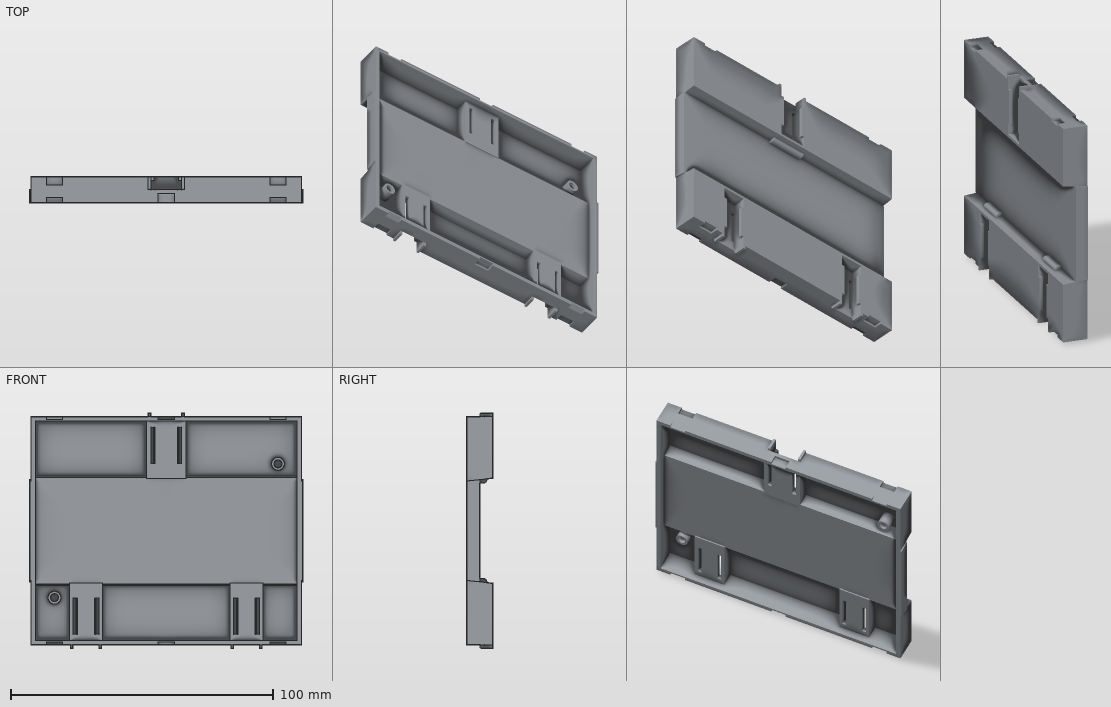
import cadquery as cq
import math


width = 103.2
height = 87.0
depth = 10.0
side_wall = 1.75
back_wall = 1.5

channel_floor_y = 5.0
channel_half_height = 20.0
channel_draft = math.tan(math.radians(6.0))
flank_wall = 1.05

plate_thickness = 0.5

housing_front_y = 3.0
housing_end_z = 19.9
top_clip_x = 0.0
top_pocket_width = 11.8
top_housing_width = 15.2
bottom_clip_offset = 30.6
bottom_pocket_width = 9.9
bottom_housing_width = 12.5
pocket_draft = math.tan(math.radians(5.0))

rail_width = 1.15
rail_thickness = 1.4
slot_width = 1.6
slot_start_z = 25.7
slot_end_z = 39.4

ear_thickness = 1.0
ear_projection = 1.3
ear_round = 0.6

catch_back_y = 7.7
catch_tip_z = 18.2
catch_round = 1.4

boss_x = 42.6
boss_z = 25.5
boss_diameter = 4.9
boss_bore = 3.0
boss_front_y = 3.5

notch_width = 6.1
notch_depth = 1.0
notch_offset = 42.65
ramp_length = 2.0
centre_notch_length = 3.5
back_notch_length = 3.2

half_width = width / 2
half_height = height / 2
inner_half_width = half_width - side_wall
inner_half_height = half_height - side_wall


def box(x0, x1, y0, y1, z0, z1):
    """Box between two opposite corners."""
    return cq.Workplane("XY").box(x1 - x0, y1 - y0, z1 - z0, centered=False).translate((x0, y0, z0))


def prism(x0, x1, yz_points):
    """Prism along X between x0 and x1 with a polygonal Y-Z section."""
    return cq.Workplane("YZ").polyline(yz_points).close().extrude(x1 - x0).translate((x0, 0, 0))


def flank_z(y):
    """Half height of the channel at depth y; the channel widens toward the back."""
    return channel_half_height - (depth - y) * channel_draft


def channel_section(front_y, back_y, offset):
    """Symmetric trapezoid following the channel flanks, moved outward by offset."""
    front_z = flank_z(front_y) + offset
    back_z = flank_z(back_y) + offset
    return [(front_y, -front_z), (back_y, -back_z), (back_y, back_z), (front_y, front_z)]


def for_both_ends(shape):
    """The shape together with its mirror image about z = 0."""
    return shape.union(shape.mirror("XY"))


def make_tray():
    tray = box(-half_width, half_width, 0, depth, -half_height, half_height)
    cavity = box(-inner_half_width, inner_half_width, 0, depth - back_wall,
                 -inner_half_height, inner_half_height)
    plateau_y = channel_floor_y - back_wall
    plateau = prism(-half_width, half_width, channel_section(plateau_y, depth, flank_wall))
    channel = prism(-half_width, half_width, channel_section(channel_floor_y, depth, 0))
    return tray.cut(cavity.cut(plateau)).cut(channel)


def make_end_plates():
    reach = half_width + plate_thickness
    section = channel_section(0, channel_floor_y, 0)
    left = prism(-reach, -half_width, section)
    right = prism(half_width, reach, section)
    return left.union(right)


def add_clip_guide(body, centre_x, pocket_width, housing_width, at_top):
    """Add one clip guide, modelled at the top wall and mirrored for the bottom wall."""
    half_pocket = pocket_width / 2
    half_housing = housing_width / 2

    housing = box(-half_housing, half_housing, housing_front_y, depth, flank_z(depth), half_height)
    housing = housing.union(box(-half_housing, half_housing, housing_front_y, channel_floor_y,
                                housing_end_z, half_height))

    catch = box(-half_housing, half_housing, channel_floor_y, catch_back_y, catch_tip_z, flank_z(depth))
    catch = catch.edges("|X and >Y and <Z").fillet(catch_round)

    ear_top = half_height + ear_projection
    ear_reach = half_pocket + ear_thickness
    ears = box(-ear_reach, ear_reach, channel_floor_y, depth, inner_half_height, ear_top)
    ears = ears.edges("|X and <Y and >Z").fillet(ear_round)

    pocket_end_back = flank_z(depth) + flank_wall
    pocket_end_front = pocket_end_back + (depth - channel_floor_y) * pocket_draft
    pocket = prism(-half_pocket, half_pocket, [
        (channel_floor_y, pocket_end_front),
        (depth, pocket_end_back),
        (depth, ear_top),
        (channel_floor_y, ear_top),
    ])

    additions = housing.union(catch).union(ears)
    removals = pocket
    for side in (-1, 1):
        outer = side * half_pocket
        rail_x = sorted((outer, outer - side * rail_width))
        slot_x = sorted((outer, outer - side * slot_width))
        rail = box(*rail_x, depth - rail_thickness, depth, slot_start_z, slot_end_z)
        slot = box(*slot_x, housing_front_y, channel_floor_y, slot_start_z, slot_end_z)
        removals = removals.cut(rail).union(slot)

    if not at_top:
        additions = additions.mirror("XY")
        removals = removals.mirror("XY")
    place = (centre_x, 0, 0)
    return body.union(additions.translate(place)).cut(removals.translate(place))


def add_bosses(body):
    for side in (-1, 1):
        centre = (side * boss_x, boss_front_y, side * boss_z)
        length = depth - back_wall - boss_front_y
        axis = cq.Vector(0, 1, 0)
        post = cq.Solid.makeCylinder(boss_diameter / 2, length, cq.Vector(*centre), axis)
        bore = cq.Solid.makeCylinder(boss_bore / 2, length, cq.Vector(*centre), axis)
        body = body.union(cq.Workplane(post)).cut(cq.Workplane(bore))
    return body


def make_cover_notches():
    half_notch = notch_width / 2
    floor_z = half_height - notch_depth
    notches = box(-half_notch, half_notch, 0, centre_notch_length, floor_z, half_height)
    for x in (-notch_offset, notch_offset):
        ramp = prism(x - half_notch, x + half_notch,
                     [(0, floor_z), (ramp_length, half_height), (0, half_height)])
        back = box(x - half_notch, x + half_notch, depth - back_notch_length, depth, floor_z, half_height)
        notches = notches.union(ramp).union(back)
    return for_both_ends(notches)


body = make_tray().union(make_end_plates())
body = add_clip_guide(body, top_clip_x, top_pocket_width, top_housing_width, at_top=True)
for clip_x in (-bottom_clip_offset, bottom_clip_offset):
    body = add_clip_guide(body, clip_x, bottom_pocket_width, bottom_housing_width, at_top=False)
body = add_bosses(body)
result = body.cut(make_cover_notches())